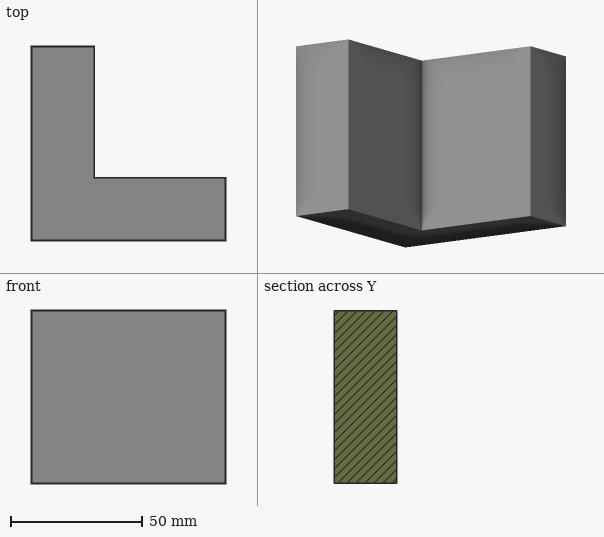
import cadquery as cq

leg_length = 74.0
leg_thickness = 24.0
height = 66.0


def angle_block():
    """L-shaped block with its outer corner at the origin and legs along +X and +Y."""
    outline = [
        (0, 0),
        (leg_length, 0),
        (leg_length, leg_thickness),
        (leg_thickness, leg_thickness),
        (leg_thickness, leg_length),
        (0, leg_length),
    ]
    return cq.Workplane("XY").polyline(outline).close().extrude(height)


result = angle_block()